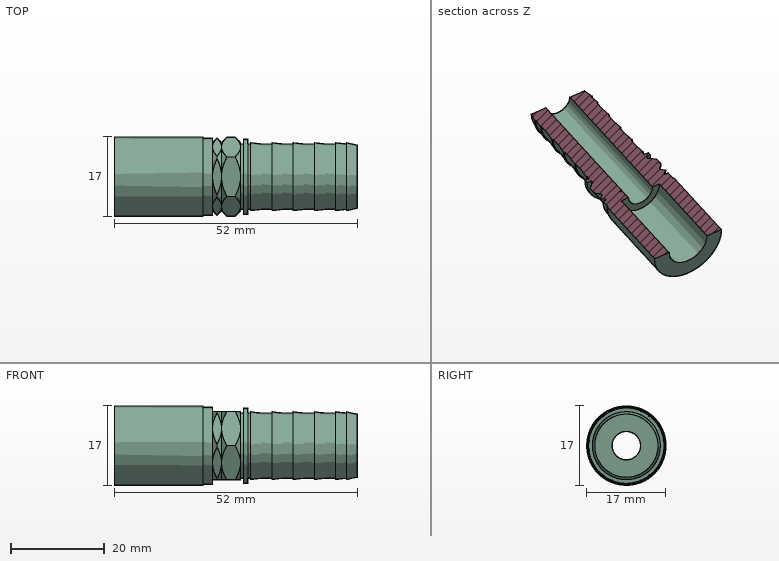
import cadquery as cq
import math


overall_length = 52.0
sleeve_end = 19.0
collar_end = 21.0
thin_nut_end = 22.95
nut_end = 27.0
flange_start = 27.6
flange_end = 28.55
first_barb_start = 29.15
counterbore_depth = sleeve_end

barb_count = 5
barb_taper_length = 2.35
tip_length = barb_taper_length
last_barb_start = overall_length - tip_length - barb_taper_length
barb_pitch = (last_barb_start - first_barb_start) / (barb_count - 1)
barb_radius = 7.3
tail_radius = 7.0
tip_radius = 6.75

sleeve_diameter = 17.0
sleeve_radius = sleeve_diameter / 2
collar_radius = 8.25
flange_radius = 8.05
counterbore_radius = 4.8
bore_radius = 3.0

hex_sides = 6
hex_across_flats = 14.65
hex_inradius = hex_across_flats / 2
hex_across_corners = hex_across_flats / math.cos(math.pi / hex_sides)


def disc(start, end, radius):
    """Cylinder about the X axis from start to end."""
    return cq.Workplane("YZ").workplane(offset=start).circle(radius).extrude(end - start)


def revolve_about_x(points):
    """Solid of revolution of an (x, radius) outline about the X axis."""
    return cq.Workplane("XY").polyline(points).close().revolve(360, (0, 0, 0), (1, 0, 0))


def hex_nut(start, end):
    """Hexagon with 45 degree turned chamfers that touch the flats at both end faces."""
    length = end - start
    prism = (
        cq.Workplane("YZ")
        .workplane(offset=start)
        .polygon(hex_sides, hex_across_corners)
        .extrude(length)
    )
    middle = (start + end) / 2
    peak_radius = hex_inradius + length / 2
    double_cone = revolve_about_x(
        [(start, 0), (start, hex_inradius), (middle, peak_radius), (end, hex_inradius), (end, 0)]
    )
    return prism.intersect(double_cone)


def hose_tail():
    """Plain tail with barbs that taper down to it, ending in a tapered tip."""
    outline = [(nut_end, 0), (nut_end, tail_radius)]
    for index in range(barb_count):
        barb_start = first_barb_start + index * barb_pitch
        outline += [
            (barb_start, tail_radius),
            (barb_start, barb_radius),
            (barb_start + barb_taper_length, tail_radius),
        ]
    outline += [
        (overall_length - tip_length, barb_radius),
        (overall_length, tip_radius),
        (overall_length, 0),
    ]
    return revolve_about_x(outline)


sleeve = disc(0, sleeve_end, sleeve_radius)
collar = disc(sleeve_end, collar_end, collar_radius)
thin_nut = hex_nut(collar_end, thin_nut_end)
nut = hex_nut(thin_nut_end, nut_end)
flange = disc(flange_start, flange_end, flange_radius)

body = sleeve.union(collar).union(thin_nut).union(nut).union(hose_tail()).union(flange)

counterbore = disc(0, counterbore_depth, counterbore_radius)
bore = disc(0, overall_length, bore_radius)

result = body.cut(counterbore).cut(bore)